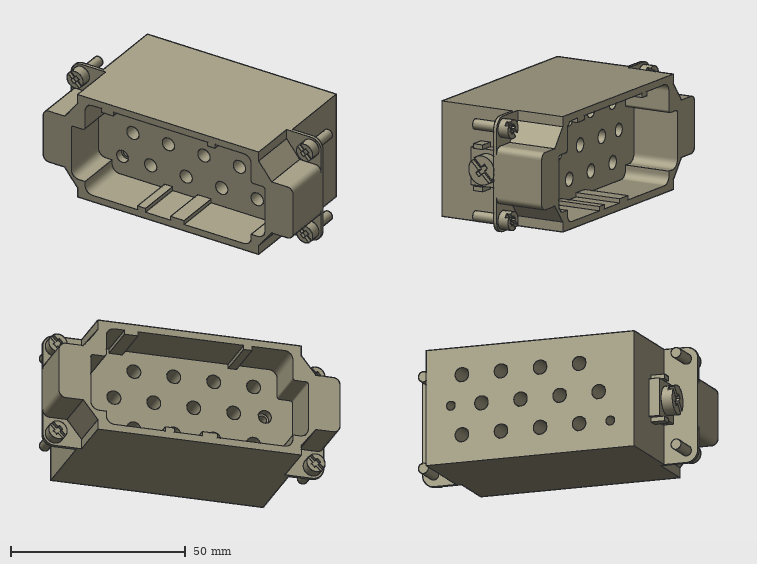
import cadquery as cq


LENGTH = 84.5
HEIGHT = 34.0
DEPTH = 39.6

BLOCK_LENGTH = 63.9
FLANGE_FRONT = 15.0
FLANGE_THICKNESS = 1.0
FLANGE_CORNER_RADIUS = 3.5

SHROUD_HALF_LENGTH = 30.6
TAPER_START_X = 35.0
TAPER_END_Z = 14.0
END_BOSS_HALF_HEIGHT = 8.45
END_BOSS_RADIUS = 2.0

CAVITY_DEPTH = 14.5
CAVITY_HALF_LENGTH = 28.05
CAVITY_HALF_HEIGHT = 14.9
CAVITY_CORNER_RADIUS = 2.5
RECESS_HALF_LENGTH = 32.7
RECESS_TOP = 6.0
RECESS_BOTTOM = -11.1
RECESS_TOP_RADIUS = 0.8
KEY_HEIGHT = 1.3
TOP_KEYS = [(-22.6, -18.5), (13.3, 15.8)]
BOTTOM_KEYS = [(-10.3, -7.6), (0.85, 5.4)]

CONTACT_DIAMETER = 4.1
CONTACT_PITCH = 12.0
CONTACTS_PER_ROW = 4
ROW_PITCH = 8.9
OUTER_ROW_START = -15.0
MIDDLE_ROW_START = OUTER_ROW_START - CONTACT_PITCH / 2

PILOT_DIAMETER = 2.6
PILOT_COUNTERBORE_DIAMETER = 3.9
PILOT_COUNTERBORE_DEPTH = 2.5
PILOT_POSITIONS = [(-24.6, -ROW_PITCH), (24.3, 0)]

SCREW_X = LENGTH / 2 - FLANGE_CORNER_RADIUS
SCREW_Z = HEIGHT / 2 - FLANGE_CORNER_RADIUS
SCREW_SHANK_DIAMETER = 3.0
SCREW_SHANK_END = 24.25
SCREW_HEAD_DIAMETER = 5.5
SCREW_HEAD_HEIGHT = 3.4
SCREW_SLOT_WIDTH = 1.35
SCREW_SLOT_DEPTH = 1.2
SCREW_CROSS_LENGTH = 2.5

TERMINAL_FRONT = 16.8
TERMINAL_SIZE = 11.1
TERMINAL_PROJECTION = 3.2
TAB_FRONT = 23.4
TAB_WIDTH = 3.1
TAB_SPAN = 13.8
TAB_PROJECTION = 4.2
EARTH_SCREW_DIAMETER = 8.5
EARTH_SCREW_PROJECTION = 6.6
EARTH_SLOT_WIDTH = 1.4
EARTH_SLOT_DEPTH = 1.6
EARTH_CROSS_LENGTH = 4.0

SLOT_ANGLE = 45.0


def box(x_range, y_range, z_range):
    """Axis-aligned box between the given limits."""
    (x0, x1), (y0, y1), (z0, z1) = x_range, y_range, z_range
    return cq.Workplane("XY").box(x1 - x0, y1 - y0, z1 - z0, centered=False).translate((x0, y0, z0))


def plane_at(y):
    """XZ sketch plane at depth y, facing -Y."""
    return cq.Workplane(cq.Plane(origin=(0, y, 0), xDir=(1, 0, 0), normal=(0, -1, 0)))


def along_y(sketch, distance):
    """Extrude a sketch on such a plane toward +Y, against its normal."""
    return sketch.extrude(-distance)


def make_shroud():
    """Front body, outlined as a tapered band with rounded end bosses."""
    x_end, z_end = LENGTH / 2, HEIGHT / 2
    full_height = box(
        (-SHROUD_HALF_LENGTH, SHROUD_HALF_LENGTH), (0, FLANGE_FRONT), (-z_end, z_end)
    )
    taper_outline = [
        (TAPER_START_X, END_BOSS_HALF_HEIGHT),
        (SHROUD_HALF_LENGTH, TAPER_END_Z),
        (-SHROUD_HALF_LENGTH, TAPER_END_Z),
        (-TAPER_START_X, END_BOSS_HALF_HEIGHT),
        (-TAPER_START_X, -END_BOSS_HALF_HEIGHT),
        (-SHROUD_HALF_LENGTH, -TAPER_END_Z),
        (SHROUD_HALF_LENGTH, -TAPER_END_Z),
        (TAPER_START_X, -END_BOSS_HALF_HEIGHT),
    ]
    taper = along_y(plane_at(0).polyline(taper_outline).close(), FLANGE_FRONT)
    end_bosses = box(
        (-x_end, x_end), (0, FLANGE_FRONT), (-END_BOSS_HALF_HEIGHT, END_BOSS_HALF_HEIGHT)
    ).edges("|Y").fillet(END_BOSS_RADIUS)
    return full_height.union(taper).union(end_bosses)


def make_body():
    """Shroud, mounting flange and rear block."""
    z_end = HEIGHT / 2
    flange = along_y(plane_at(FLANGE_FRONT).rect(LENGTH, HEIGHT), FLANGE_THICKNESS)
    flange = flange.edges("|Y").fillet(FLANGE_CORNER_RADIUS)
    block = box((-BLOCK_LENGTH / 2, BLOCK_LENGTH / 2), (FLANGE_FRONT, DEPTH), (-z_end, z_end))
    return make_shroud().union(flange).union(block)


def make_cavity():
    """Volume removed from the mating face, with the coding keys left standing."""
    middle = box(
        (-CAVITY_HALF_LENGTH, CAVITY_HALF_LENGTH),
        (0, CAVITY_DEPTH),
        (-CAVITY_HALF_HEIGHT, CAVITY_HALF_HEIGHT),
    ).edges("|Y").fillet(CAVITY_CORNER_RADIUS)
    recess = box(
        (-RECESS_HALF_LENGTH, RECESS_HALF_LENGTH), (0, CAVITY_DEPTH), (RECESS_BOTTOM, RECESS_TOP)
    )
    recess = recess.edges("|Y and >Z").fillet(RECESS_TOP_RADIUS)
    recess = recess.edges("|Y and <Z").fillet(CAVITY_CORNER_RADIUS)
    cavity = middle.union(recess)

    for side in (-1, 1):
        corner = cq.selectors.NearestToPointSelector(
            (side * CAVITY_HALF_LENGTH, CAVITY_DEPTH / 2, RECESS_TOP)
        )
        cavity = cavity.edges("|Y").edges(corner).fillet(RECESS_TOP_RADIUS)

    key_depth = (0, CAVITY_DEPTH)
    for x_range in TOP_KEYS:
        key_z = (CAVITY_HALF_HEIGHT - KEY_HEIGHT, CAVITY_HALF_HEIGHT)
        cavity = cavity.cut(box(x_range, key_depth, key_z))
    for x_range in BOTTOM_KEYS:
        key_z = (-CAVITY_HALF_HEIGHT, KEY_HEIGHT - CAVITY_HALF_HEIGHT)
        cavity = cavity.cut(box(x_range, key_depth, key_z))
    return cavity


def contact_positions():
    """X and Z of the three staggered rows of contacts."""
    rows = [(ROW_PITCH, OUTER_ROW_START), (0, MIDDLE_ROW_START), (-ROW_PITCH, OUTER_ROW_START)]
    return [
        (row_start + column * CONTACT_PITCH, z)
        for z, row_start in rows
        for column in range(CONTACTS_PER_ROW)
    ]


def make_holes():
    """Contact and pilot holes, running from the cavity floor to the rear face."""
    floor = plane_at(CAVITY_DEPTH)
    hole_depth = DEPTH - CAVITY_DEPTH
    contacts = along_y(floor.pushPoints(contact_positions()).circle(CONTACT_DIAMETER / 2), hole_depth)
    pilots = along_y(floor.pushPoints(PILOT_POSITIONS).circle(PILOT_DIAMETER / 2), hole_depth)
    counterbores = along_y(
        floor.pushPoints(PILOT_POSITIONS).circle(PILOT_COUNTERBORE_DIAMETER / 2),
        PILOT_COUNTERBORE_DEPTH,
    )
    return contacts.union(pilots).union(counterbores)


def make_drive(slot_length, slot_width, cross_length, depth):
    """Slot-and-cross screwdriver recess, centred on Z and cut down from Z = 0."""
    top = cq.Workplane("XY")
    slot = top.rect(slot_length, slot_width).extrude(-depth)
    cross = top.rect(slot_width, cross_length).extrude(-depth)
    return slot.union(cross).rotate((0, 0, 0), (0, 0, 1), -SLOT_ANGLE)


def make_corner_screw():
    """Flange screw along Z with its head face at Z = 0 and the shank below."""
    head = cq.Workplane("XY").circle(SCREW_HEAD_DIAMETER / 2).extrude(-SCREW_HEAD_HEIGHT)
    shank_length = SCREW_SHANK_END - FLANGE_FRONT + SCREW_HEAD_HEIGHT
    shank = cq.Workplane("XY").circle(SCREW_SHANK_DIAMETER / 2).extrude(-shank_length)
    drive = make_drive(SCREW_HEAD_DIAMETER, SCREW_SLOT_WIDTH, SCREW_CROSS_LENGTH, SCREW_SLOT_DEPTH)
    return head.union(shank).cut(drive)


def add_corner_screws(body):
    """Join one screw at each corner of the flange."""
    screw = make_corner_screw().rotate((0, 0, 0), (1, 0, 0), 90)
    head_face = FLANGE_FRONT - SCREW_HEAD_HEIGHT
    for x in (-SCREW_X, SCREW_X):
        for z in (-SCREW_Z, SCREW_Z):
            body = body.union(screw.translate((x, head_face, z)))
    return body


def make_earth_terminal():
    """Clamp block with two side tabs and a large slotted screw."""
    wall = -BLOCK_LENGTH / 2
    half = TERMINAL_SIZE / 2
    block_y = (TERMINAL_FRONT, TERMINAL_FRONT + TERMINAL_SIZE)
    block = box((wall - TERMINAL_PROJECTION, wall), block_y, (-half, half))

    tab_x = (wall - TAB_PROJECTION, wall)
    tab_y = (TAB_FRONT, TAB_FRONT + TAB_WIDTH)
    upper_tab = box(tab_x, tab_y, (half, TAB_SPAN / 2))
    lower_tab = box(tab_x, tab_y, (-TAB_SPAN / 2, -half))

    screw = cq.Workplane("XY").circle(EARTH_SCREW_DIAMETER / 2).extrude(-EARTH_SCREW_PROJECTION)
    screw = screw.cut(
        make_drive(EARTH_SCREW_DIAMETER, EARTH_SLOT_WIDTH, EARTH_CROSS_LENGTH, EARTH_SLOT_DEPTH)
    )
    head_location = cq.Plane(
        origin=(wall - EARTH_SCREW_PROJECTION, TERMINAL_FRONT + half, 0),
        xDir=(0, -1, 0),
        normal=(-1, 0, 0),
    ).location
    screw = cq.Workplane("XY").add(screw.val().moved(head_location))
    return block.union(upper_tab).union(lower_tab).union(screw)


body = make_body().cut(make_cavity()).cut(make_holes())
body = add_corner_screws(body)
result = body.union(make_earth_terminal())